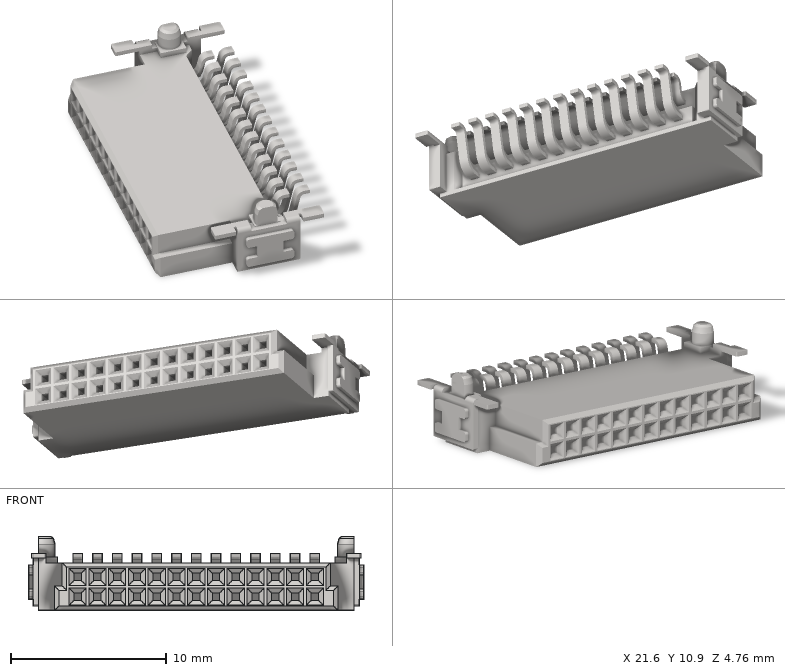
import cadquery as cq
import math


tongue_half_width = 9.12
tongue_top_half_width = 8.62
tongue_step_z = 1.57
housing_top_z = 3.05
front_chamfer = 0.28
shoulder_half_width = 10.15
shoulder_front_y = 5.15
housing_back_y = 8.5

ledge_inner_x = 9.65
ledge_top_z = 3.36
peg_block_inner_x = 8.92
peg_block_length = 1.75
peg_block_top_z = 3.45

peg_x = 9.83
peg_y = 7.2
peg_radius = 0.75
peg_cylinder_top_z = 4.25
peg_taper_radius = 0.65
peg_taper_top_z = 4.63
peg_tip_radius = 0.47
peg_top_z = 4.76

recess_wall_y = 7.95
recess_mouth_half_width = 9.1
recess_floor_z = 0.28
recess_step_y = 8.28

contact_count = 13
pitch = 1.27
lower_row_z = 0.88
upper_row_z = lower_row_z + pitch
funnel_mouth = 1.1
socket_side = 0.47
funnel_depth = (funnel_mouth - socket_side) / 2
socket_depth = 2.15

terminal_width = 0.62
terminal_thickness = 0.25
terminal_tip_y = 10.8
terminal_flat_length = 0.7
terminal_row_offset = 1.35
terminal_lean = math.radians(13)
terminal_foot_bend = 0.39
lower_exit_bend = 0.86
upper_exit_bend = 0.7
terminal_root_depth = 0.22

clip_outer_x = 10.5
clip_bottom_z = 0.28
clip_top_z = 3.66
clip_length = 4.22
clip_front_y = peg_y - clip_length / 2
clip_back_y = peg_y + clip_length / 2
clip_corner_radius = 0.09
bend_length = 0.9
bend_radius = 0.28
tab_outer_x = 10.6
tab_back_y = 10.9
tab_corner_radius = 0.09
tab_notch_inner_x = 10.09
tab_notch_width = 0.17

pad_outer_x = 10.78
pad_length = 3.21
pad_web_length = 1.75
pad_bottom_z = 0.71
pad_top_z = 2.93
pad_flange_height = 0.67
pad_corner_radius = 0.17


def box(x_min, x_max, y_min, y_max, z_min, z_max):
    size = (x_max - x_min, y_max - y_min, z_max - z_min)
    return cq.Workplane("XY").box(*size, centered=False).translate((x_min, y_min, z_min))


def make_housing():
    """Stepped tongue with a chamfered mating face, and shoulders at its back."""
    tongue = box(-tongue_half_width, tongue_half_width, 0, housing_back_y, 0, tongue_step_z).union(
        box(-tongue_top_half_width, tongue_top_half_width, 0, housing_back_y, 0, housing_top_z)
    )
    tongue = tongue.faces("<Y").edges().chamfer(front_chamfer)
    shoulders = box(
        -shoulder_half_width, shoulder_half_width, shoulder_front_y, housing_back_y, 0, housing_top_z
    )
    return tongue.union(shoulders).cut(make_recess())


def make_recess():
    """Flared pocket open to the back, with a step between the two terminal rows."""
    pocket = (
        cq.Workplane("XY", origin=(0, 0, recess_floor_z))
        .moveTo(-tongue_top_half_width, recess_wall_y)
        .lineTo(tongue_top_half_width, recess_wall_y)
        .lineTo(recess_mouth_half_width, housing_back_y)
        .lineTo(-recess_mouth_half_width, housing_back_y)
        .close()
        .extrude(housing_top_z - recess_floor_z)
    )
    step = box(
        -tongue_top_half_width, tongue_top_half_width,
        recess_wall_y, recess_step_y, recess_floor_z, tongue_step_z,
    )
    return pocket.cut(step)


def make_socket():
    """Square funnel and blind hole, centred on the Y axis."""
    funnel = (
        cq.Workplane("XZ")
        .rect(funnel_mouth, funnel_mouth)
        .workplane(offset=-funnel_depth)
        .rect(socket_side, socket_side)
        .loft(ruled=True)
    )
    half_side = socket_side / 2
    hole = box(-half_side, half_side, 0, socket_depth, -half_side, half_side)
    return funnel.union(hole)


def make_terminal(row_z, tip_y, exit_bend):
    """Bent strip from the housing up to a solder foot level with the clip tabs."""
    foot_z = clip_top_z - terminal_thickness / 2
    foot_bend_y = tip_y - terminal_flat_length
    exit_bend_y = foot_bend_y - (foot_z - row_z) * math.tan(terminal_lean)
    half_turn = (math.pi / 2 - terminal_lean) / 2
    sin_lean = math.sin(terminal_lean)
    cos_lean = math.cos(terminal_lean)

    exit_tangent = exit_bend * math.tan(half_turn)
    foot_tangent = terminal_foot_bend * math.tan(half_turn)
    center_line = (
        cq.Workplane("YZ")
        .moveTo(recess_wall_y - terminal_root_depth, row_z)
        .lineTo(exit_bend_y - exit_tangent, row_z)
        .tangentArcPoint(
            (exit_bend_y + exit_tangent * sin_lean, row_z + exit_tangent * cos_lean), relative=False
        )
        .lineTo(foot_bend_y - foot_tangent * sin_lean, foot_z - foot_tangent * cos_lean)
        .tangentArcPoint((foot_bend_y + foot_tangent, foot_z), relative=False)
        .lineTo(tip_y, foot_z)
    )
    return (
        cq.Workplane("XZ", origin=(0, recess_wall_y - terminal_root_depth, row_z))
        .rect(terminal_width, terminal_thickness)
        .sweep(center_line)
    )


def make_peg():
    """Round peg with a tapered tip, cut flat in line with the housing end."""
    peg = (
        cq.Workplane("XZ")
        .moveTo(0, ledge_top_z)
        .lineTo(peg_radius, ledge_top_z)
        .lineTo(peg_radius, peg_cylinder_top_z)
        .lineTo(peg_taper_radius, peg_taper_top_z)
        .lineTo(peg_tip_radius, peg_top_z)
        .lineTo(0, peg_top_z)
        .close()
        .revolve(360, (0, 0, 0), (0, 1, 0))
        .translate((peg_x, peg_y, 0))
    )
    keep = box(0, shoulder_half_width, 0, tab_back_y, 0, peg_top_z)
    return peg.intersect(keep)


def make_clip():
    """Upright end plate whose top is bent inwards into two solder tabs."""
    plate = box(
        shoulder_half_width, clip_outer_x, clip_front_y, clip_back_y, clip_bottom_z, ledge_top_z
    )
    plate = plate.faces("<Z").edges("|X").fillet(clip_corner_radius)

    bend_y = clip_back_y - bend_length
    bend = box(ledge_inner_x, clip_outer_x, bend_y, clip_back_y, ledge_top_z, clip_top_z)
    bend = bend.edges(">X and >Z").fillet(bend_radius)
    neck_y = clip_back_y + tab_notch_width
    neck = box(ledge_inner_x, tab_notch_inner_x, bend_y, neck_y, ledge_top_z, clip_top_z)
    tab = box(ledge_inner_x, tab_outer_x, neck_y, tab_back_y, ledge_top_z, clip_top_z)
    tab = tab.faces(">Y").edges("|Z").fillet(tab_corner_radius)
    back_tab = bend.union(neck).union(tab)
    front_tab = back_tab.mirror("XZ", (0, peg_y, 0))
    return plate.union(back_tab).union(front_tab)


def make_pad():
    """Web with a round-cornered flange at its top and bottom."""
    half_length = pad_length / 2
    half_web = pad_web_length / 2
    x_range = (clip_outer_x, pad_outer_x)
    pad = box(*x_range, peg_y - half_web, peg_y + half_web, pad_bottom_z, pad_top_z)
    for z in (pad_bottom_z, pad_top_z - pad_flange_height):
        flange = box(*x_range, peg_y - half_length, peg_y + half_length, z, z + pad_flange_height)
        pad = pad.union(flange.edges("|X").fillet(pad_corner_radius))
    return pad


def make_end():
    """Everything added to the +X end of the housing."""
    ledge = box(
        ledge_inner_x, shoulder_half_width, shoulder_front_y, housing_back_y, housing_top_z, ledge_top_z
    )
    back_block = box(
        ledge_inner_x, shoulder_half_width,
        housing_back_y, clip_back_y, clip_bottom_z, ledge_top_z,
    )
    half_block = peg_block_length / 2
    peg_block = box(
        peg_block_inner_x, shoulder_half_width,
        peg_y - half_block, peg_y + half_block, housing_top_z, peg_block_top_z,
    )
    molded = ledge.union(back_block).union(peg_block).union(make_peg())
    return molded.union(make_clip()).union(make_pad())


end = make_end()
socket = make_socket().val()
lower_terminal = make_terminal(lower_row_z, terminal_tip_y, lower_exit_bend).val()
upper_terminal = make_terminal(upper_row_z, terminal_tip_y - terminal_row_offset, upper_exit_bend).val()
columns = [(column - (contact_count - 1) / 2) * pitch for column in range(contact_count)]

sockets = [socket.translate((x, 0, z)) for x in columns for z in (lower_row_z, upper_row_z)]
terminals = [
    terminal.translate((x, 0, 0)) for x in columns for terminal in (lower_terminal, upper_terminal)
]
body = make_housing().union(end).union(end.mirror("YZ"))
result = cq.Workplane("XY").add(body.val().cut(*sockets).fuse(*terminals)).solids()